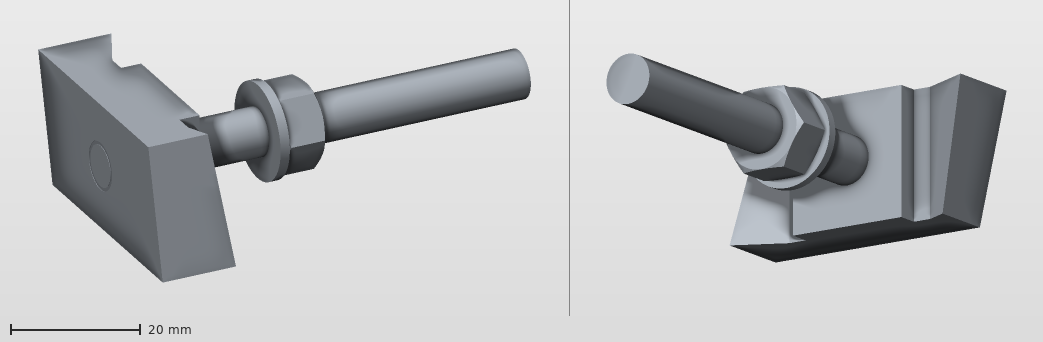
import cadquery as cq
import math


stud_length = 72.0
stud_diameter = 8.0
stud_radius = stud_diameter / 2
stud_end_radius = 3.45
stud_end_step = 0.1

head_overall_width = 43.0
head_height = 21.0
head_skew = 5.0
tip_depth = 12.6
boss_depth = 12.0
boss_width = 20.15
notch_depth = 8.6
notch_floor_width = 3.0

washer_start = 27.0
washer_thickness = 1.6
washer_radius = 8.0

nut_across_flats = 12.95
nut_thickness = 6.85
nut_chamfer_angle = 30.0
nut_start = washer_start + washer_thickness


def cylinder_along_y(radius, start, length):
    """Cylinder on the stud axis, from Y = start towards +Y."""
    return cq.Workplane("XZ", origin=(0, start, 0)).circle(radius).extrude(-length)


def stud_bore(start, length):
    return cylinder_along_y(stud_radius, start, length)


def make_stud():
    end = cylinder_along_y(stud_end_radius, 0, stud_end_step)
    shank = cylinder_along_y(stud_radius, stud_end_step, stud_length - stud_end_step)
    return shank.union(end)


def make_head():
    half_width = head_overall_width / 2
    half_height = head_height / 2
    half_boss = boss_width / 2
    ramp_start = half_boss + notch_floor_width

    back_profile = (
        cq.Workplane("XY", origin=(0, 0, -half_height))
        .moveTo(-half_width, 0)
        .lineTo(half_width, 0)
        .lineTo(half_width, tip_depth)
        .lineTo(ramp_start, notch_depth)
        .lineTo(half_boss, notch_depth)
        .lineTo(half_boss, boss_depth)
        .lineTo(-half_boss, boss_depth)
        .lineTo(-half_boss, notch_depth)
        .lineTo(-ramp_start, notch_depth)
        .lineTo(-half_width, tip_depth)
        .close()
        .extrude(head_height)
    )
    parallelogram = (
        cq.Workplane("XZ")
        .moveTo(-half_width, half_height)
        .lineTo(half_width - head_skew, half_height)
        .lineTo(half_width, -half_height)
        .lineTo(-half_width + head_skew, -half_height)
        .close()
        .extrude(-tip_depth)
    )
    return back_profile.intersect(parallelogram).cut(stud_bore(0, boss_depth))


def make_washer():
    disc = cylinder_along_y(washer_radius, washer_start, washer_thickness)
    return disc.cut(stud_bore(washer_start, washer_thickness))


def make_nut():
    corner_radius = nut_across_flats / math.sqrt(3)
    face_radius = nut_across_flats / 2
    chamfer_drop = (corner_radius - face_radius) * math.tan(math.radians(nut_chamfer_angle))

    hexagon = (
        cq.Workplane("XZ", origin=(0, nut_start, 0))
        .polygon(6, 2 * corner_radius)
        .extrude(-nut_thickness)
    )
    envelope = (
        cq.Workplane("XY", origin=(0, nut_start, 0))
        .moveTo(0, 0)
        .lineTo(face_radius, 0)
        .lineTo(corner_radius, chamfer_drop)
        .lineTo(corner_radius, nut_thickness - chamfer_drop)
        .lineTo(face_radius, nut_thickness)
        .lineTo(0, nut_thickness)
        .close()
        .revolve(360, (0, 0, 0), (0, 1, 0))
    )
    return hexagon.intersect(envelope).cut(stud_bore(nut_start, nut_thickness))


stud = make_stud()
head = make_head()
washer = make_washer()
nut = make_nut()

result = cq.Compound.makeCompound([stud.val(), head.val(), washer.val(), nut.val()])